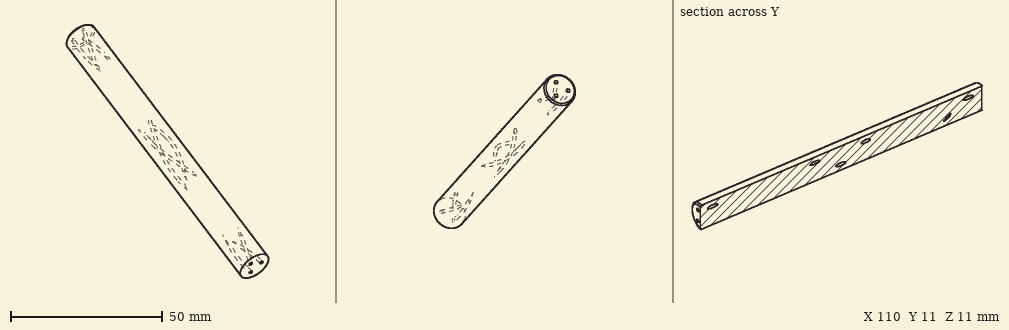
import cadquery as cq
import math

rod_diameter = 11.0
rod_length = 110.0
chamfer_size = 0.55

channel_count = 3
channel_diameter = 1.1
channel_pitch_circle = 5.6
helix_angle = 30.0
channel_overrun = 2.0

helix_lead = math.pi * rod_diameter / math.tan(math.radians(helix_angle))
channel_radius = channel_pitch_circle / 2


def make_rod():
    """Plain cylinder, chamfered at the X = 0 end only."""
    rod = cq.Workplane("YZ").circle(rod_diameter / 2).extrude(rod_length)
    return rod.faces("<X").chamfer(chamfer_size)


def make_channel():
    """Helical channel about Z that crosses Z = 0 at (channel_radius, 0)."""
    height = rod_length + 2 * channel_overrun
    path = cq.Wire.makeHelix(helix_lead, height, channel_radius)
    channel = (
        cq.Workplane("XY")
        .center(channel_radius, 0)
        .circle(channel_diameter / 2)
        .sweep(cq.Workplane(path), isFrenet=True)
    )
    overrun_turn = 360 * channel_overrun / helix_lead
    return (
        channel.translate((0, 0, -channel_overrun))
        .rotate((0, 0, 0), (0, 0, 1), -overrun_turn)
    )


def cut_channels(rod):
    """Cut the channels, evenly spaced with the first one opening on the -Y side."""
    channel = (
        make_channel()
        .rotate((0, 0, 0), (0, 1, 0), 90)
        .rotate((0, 0, 0), (1, 0, 0), -90)
    )
    for index in range(channel_count):
        turn = index * 360 / channel_count
        rod = rod.cut(channel.rotate((0, 0, 0), (1, 0, 0), turn))
    return rod


result = cut_channels(make_rod())